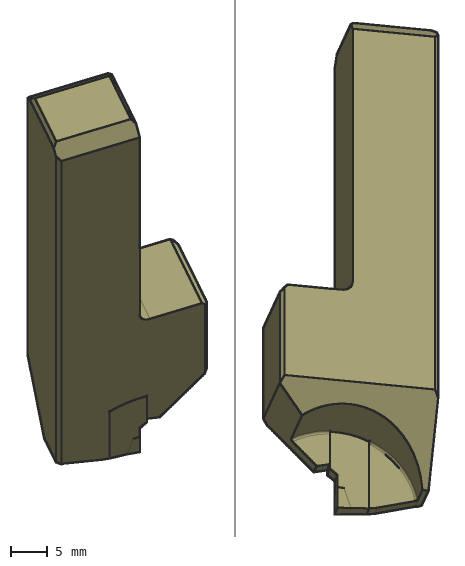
import cadquery as cq
import math

height = 70.0
width = 12.0
shank_depth = 12.0
holder_depth = 22.0
heel_top = 28.1
heel_bottom = 13.2
heel_chamfer = 1.0
inner_corner_radius = 1.5
edge_chamfer = 0.55
top_side_chamfer = 1.95
top_end_chamfer = 0.55

foot_bottom = 2.3
foot_flat = 0.85
foot_bevel_top = 14.2
foot_bevel_angle = 60.0
blade_thickness = 1.9
pocket_center_y = 12.2
pocket_radius = 11.55
pocket_fillet = 0.35
notch_outer_y = 14.85
notch_outer_z = heel_bottom - (holder_depth - notch_outer_y)
notch_inner_z = 6.6
blade_corner_y = 6.45
blade_corner_z = 0.6

insert_front = 7.55
insert_back = 13.0
insert_front_bottom = 0.4
cutting_face_y = shank_depth
step_outer_z = 5.9
step_inner_z = 5.05
tip_overhang = 0.15
tip_top_z = 3.15
tip_top_y = 11.05
tip_bottom_y = 10.1

blade_left = width - blade_thickness
blade_middle = width - blade_thickness / 2


def side_prism(points, x_start, x_end):
    """Extrude a closed (Y, Z) outline along X."""
    return (
        cq.Workplane("YZ", origin=(x_start, 0, 0))
        .polyline(points)
        .close()
        .extrude(x_end - x_start)
    )


def pocket_cylinder(length):
    """Cylinder along X that follows the round pocket wall."""
    return cq.Workplane("YZ").center(pocket_center_y, 0).circle(pocket_radius).extrude(length)


def filleted_pocket():
    """Round milling pocket that leaves the thin blade, with a filleted root."""
    return pocket_cylinder(blade_left).faces(">X").edges().fillet(pocket_fillet)


def insert_seat():
    """Opening through the blade and its root fillet, open below the insert."""
    outline = [
        (insert_front, 0),
        (insert_back, 0),
        (insert_back, pocket_radius),
        (insert_front, pocket_radius),
    ]
    return side_prism(outline, 0, width).intersect(pocket_cylinder(width))


def insert_plate():
    """Flat insert body, its upper end rounded to fit the pocket wall."""
    outline = [
        (insert_front, insert_front_bottom),
        (cutting_face_y, 0),
        (cutting_face_y, step_inner_z),
        (insert_back, step_outer_z),
        (insert_back, pocket_radius),
        (insert_front, pocket_radius),
    ]
    return side_prism(outline, blade_left, width).intersect(pocket_cylinder(width))


def insert_tip():
    """Tip that widens on both sides from the sloping relief line to the cutting face."""
    bottom_slope = insert_front_bottom / (cutting_face_y - insert_front)
    tip_bottom_z = (cutting_face_y - tip_bottom_y) * bottom_slope
    line_y = tip_top_y - tip_bottom_y
    line_z = tip_top_z - tip_bottom_z
    line_length = math.hypot(line_y, line_z)
    tip_reach = ((cutting_face_y - tip_bottom_y) * line_z + tip_bottom_z * line_y) / line_length
    narrow_half = blade_thickness / 2
    wide_half = narrow_half + tip_overhang

    relief_plane = cq.Plane(
        origin=(blade_middle, tip_bottom_y, tip_bottom_z),
        xDir=(1, 0, 0),
        normal=(0, line_y, line_z),
    )
    widening_bar = (
        cq.Workplane(relief_plane)
        .polyline([
            (-narrow_half, 0),
            (narrow_half, 0),
            (wide_half, tip_reach),
            (-wide_half, tip_reach),
        ])
        .close()
        .extrude(line_length * 2, both=True)
    )
    outline = [
        (tip_bottom_y, tip_bottom_z),
        (cutting_face_y, 0),
        (cutting_face_y, tip_top_z),
        (tip_top_y, tip_top_z),
    ]
    return side_prism(outline, blade_left - tip_overhang, width + tip_overhang).intersect(widening_bar)


def holder_blank():
    """L-shaped shank and heel with chamfered edges and the lower-end outline."""
    outline = [
        (0, foot_bottom),
        (foot_flat, foot_bottom),
        (blade_corner_y, blade_corner_z),
        (insert_front, insert_front_bottom),
        (insert_back, insert_front_bottom),
        (insert_back, notch_inner_z),
        (notch_outer_y, notch_outer_z),
        (holder_depth, heel_bottom),
        (holder_depth, heel_top),
        (shank_depth, heel_top),
        (shank_depth, height),
        (0, height),
    ]
    blank = side_prism(outline, 0, width)
    blank = blank.edges(
        cq.selectors.NearestToPointSelector((width / 2, shank_depth, heel_top))
    ).fillet(inner_corner_radius)
    blank = blank.edges(
        cq.selectors.NearestToPointSelector((width / 2, holder_depth, heel_top))
    ).chamfer(heel_chamfer)
    blank = blank.faces("<Y or >Y").edges("|Z").chamfer(edge_chamfer)

    blank = blank.intersect(top_limit("XZ", width, top_side_chamfer))
    return blank.intersect(top_limit("YZ", shank_depth, top_end_chamfer))


def top_limit(plane, span, chamfer):
    """Block whose two top corners are chamfered, open to the heel below the shank."""
    margin = holder_depth
    shoulder = height - chamfer
    outline = [
        (-margin, 0),
        (-margin, heel_top),
        (0, heel_top),
        (0, shoulder),
        (chamfer, height),
        (span - chamfer, height),
        (span, shoulder),
        (span, heel_top + inner_corner_radius),
        (span + margin, heel_top + inner_corner_radius),
        (span + margin, 0),
    ]
    return cq.Workplane(plane).polyline(outline).close().extrude(margin * 2, both=True)


def foot_bevel():
    """Wedge removed below the sloping face on the lower -X side of the holder."""
    run = foot_bevel_top / math.tan(math.radians(foot_bevel_angle))
    return (
        cq.Workplane("XZ")
        .polyline([(0, foot_bevel_top), (run, 0), (0, 0)])
        .close()
        .extrude(-holder_depth)
    )


def foot_underside():
    """Space below the flat foot, beside the blade."""
    return cq.Workplane("XY").box(blade_left, holder_depth, foot_bottom, centered=False)


insert = insert_plate().union(insert_tip())

holder = (
    holder_blank()
    .cut(foot_bevel())
    .cut(filleted_pocket())
    .cut(foot_underside())
    .cut(insert_seat())
)

result = cq.Compound.makeCompound([holder.solids().val(), insert.solids().val()])